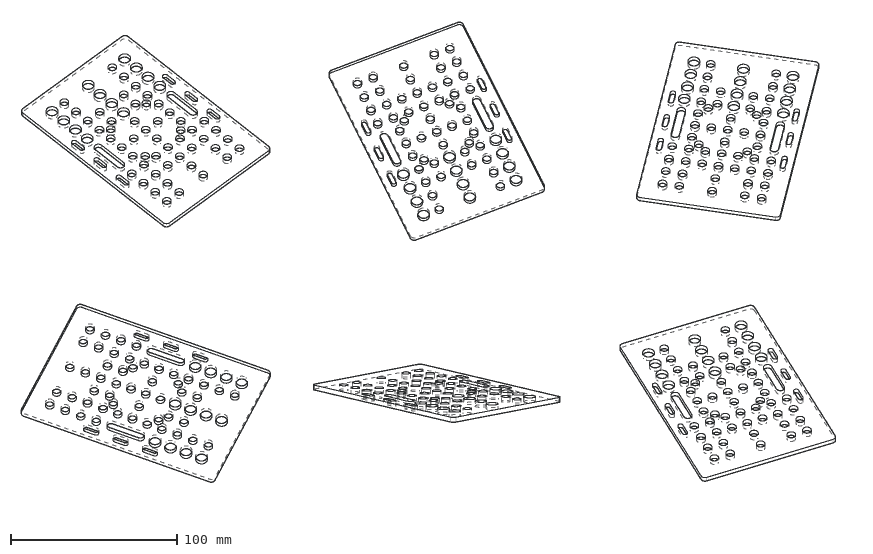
import cadquery as cq

length = 127.0
width = 88.0
thickness = 3.0
corner_radius = 2.5

hole_diameter = 5.2
large_hole_diameter = 7.1

column_pitch = 10.2
inner_column = 9.7
first_outer_column = 19.3
outer_column_count = 4
outer_columns = [first_outer_column + i * column_pitch for i in range(outer_column_count)]
middle_row = 10.0
middle_row_columns = 2
full_row = 2 * middle_row
slot_row = 30.4
diagonal_offset = 14.9

long_slot_length = 24.3
long_slot_width = 5.1
short_slot_length = 9.7
short_slot_width = 3.2
short_slot_pitch = first_outer_column
short_slot_row = 38.0


def mirrored(values):
    """Each value together with its negative."""
    return [sign * value for value in values for sign in (-1, 1)]


def grid(columns, rows):
    """Every crossing of the given columns and rows."""
    return [(x, y) for x in columns for y in rows]


def small_hole_centres():
    inner_columns = [0] + mirrored([inner_column])
    centres = grid(outer_columns, [0] + mirrored([slot_row]))
    centres += grid(inner_columns, [0])
    centres += grid(inner_columns + mirrored(outer_columns), mirrored([full_row]))
    centres += grid([0] + mirrored(outer_columns[:middle_row_columns]), mirrored([middle_row]))
    centres += grid(mirrored([diagonal_offset]), mirrored([diagonal_offset]))
    return centres


def large_hole_centres():
    return grid([-x for x in outer_columns], [0] + mirrored([slot_row]))


def cut_holes(body, centres, diameter):
    return body.faces(">Z").workplane(origin=(0, 0, 0)).pushPoints(centres).hole(diameter)


def cut_slots(body, centres, slot_length, slot_width):
    top = body.faces(">Z").workplane(origin=(0, 0, 0))
    return top.pushPoints(centres).slot2D(slot_length, slot_width).cutThruAll()


plate = cq.Workplane("XY").box(length, width, thickness)
plate = plate.edges("|Z").fillet(corner_radius)

plate = cut_holes(plate, small_hole_centres(), hole_diameter)
plate = cut_holes(plate, large_hole_centres(), large_hole_diameter)

long_slot_centres = grid([0], mirrored([slot_row]))
plate = cut_slots(plate, long_slot_centres, long_slot_length, long_slot_width)

short_slot_columns = [0] + mirrored([short_slot_pitch])
short_slot_centres = grid(short_slot_columns, mirrored([short_slot_row]))
plate = cut_slots(plate, short_slot_centres, short_slot_length, short_slot_width)

result = plate